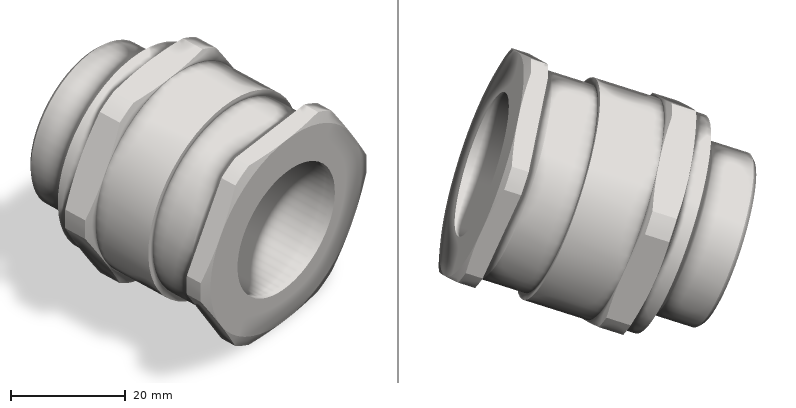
import cadquery as cq
import math

total_length = 45.35

spigot_radius = 15.95
spigot_chamfer = 0.75
spigot_groove_start = 8.5
spigot_groove_radius = 15.0
spigot_groove_flat = 0.15

collar_start = 10.25
collar_radius = 20.0
body_radius = 20.3
body_end = 31.05
cap_neck_radius = 19.1
cap_groove_start = 39.6
cap_groove_radius = 17.95
cap_groove_flat = 0.2

across_flats = 41.0
flat_radius = across_flats / 2
corner_radius = 22.55
bevel_angle = 16.5
body_hex_start = 13.25
body_hex_end = 19.15
cap_hex_start = 41.55

bore_radius = 13.2
bore_chamfer = spigot_chamfer
bore_groove_start = 10.3
bore_groove_width = 0.85
bore_groove_depth = 0.65


def revolve_about_x(points):
    """Revolve a closed (x, radius) outline about the X axis."""
    return cq.Workplane("XZ").polyline(points).close().revolve(360, (0, 0, 0), (1, 0, 0))


def turned_body():
    spigot_groove_depth = spigot_radius - spigot_groove_radius
    spigot_groove_bottom = spigot_groove_start + spigot_groove_depth
    spigot_groove_bottom_end = spigot_groove_bottom + spigot_groove_flat
    cap_groove_depth = cap_neck_radius - cap_groove_radius
    cap_groove_bottom = cap_groove_start + cap_groove_depth
    cap_groove_bottom_end = cap_groove_bottom + cap_groove_flat
    spigot_root = spigot_groove_radius + collar_start - spigot_groove_bottom_end
    cap_root = cap_groove_radius + cap_hex_start - cap_groove_bottom_end
    return revolve_about_x([
        (0, 0),
        (0, spigot_radius - spigot_chamfer),
        (spigot_chamfer, spigot_radius),
        (spigot_groove_start, spigot_radius),
        (spigot_groove_bottom, spigot_groove_radius),
        (spigot_groove_bottom_end, spigot_groove_radius),
        (collar_start, spigot_root),
        (collar_start, collar_radius),
        (body_hex_end, collar_radius),
        (body_hex_end, body_radius),
        (body_end, body_radius),
        (body_end, cap_neck_radius),
        (cap_groove_start, cap_neck_radius),
        (cap_groove_bottom, cap_groove_radius),
        (cap_groove_bottom_end, cap_groove_radius),
        (cap_hex_start, cap_root),
        (cap_hex_start, 0),
    ])


def hexagon(start, end):
    """Hexagonal prism with flats at +Z and -Z."""
    across_corners = across_flats / math.cos(math.radians(30))
    return cq.Workplane("YZ").workplane(offset=start).polygon(6, across_corners).extrude(end - start)


def bevel_envelope(face, far_end, face_radius):
    """Cylinder of the corner radius, coned down to face_radius at the bevelled face."""
    bevel = (corner_radius - face_radius) * math.tan(math.radians(bevel_angle))
    bevel_end = face + math.copysign(bevel, far_end - face)
    return revolve_about_x([
        (face, 0),
        (face, face_radius),
        (bevel_end, corner_radius),
        (far_end, corner_radius),
        (far_end, 0),
    ])


def body_hexagon():
    prism = hexagon(body_hex_start, body_hex_end)
    start_envelope = bevel_envelope(body_hex_start, body_hex_end, collar_radius)
    end_envelope = bevel_envelope(body_hex_end, body_hex_start, flat_radius)
    return prism.intersect(start_envelope).intersect(end_envelope)


def cap_hexagon():
    prism = hexagon(cap_hex_start, total_length)
    return prism.intersect(bevel_envelope(total_length, cap_hex_start, flat_radius))


def bore():
    groove_end = bore_groove_start + bore_groove_width
    groove_radius = bore_radius + bore_groove_depth
    return revolve_about_x([
        (0, 0),
        (0, bore_radius + bore_chamfer),
        (bore_chamfer, bore_radius),
        (bore_groove_start, bore_radius),
        (bore_groove_start, groove_radius),
        (groove_end, groove_radius),
        (groove_end, bore_radius),
        (total_length, bore_radius),
        (total_length, 0),
    ])


result = turned_body().union(body_hexagon()).union(cap_hexagon()).cut(bore())